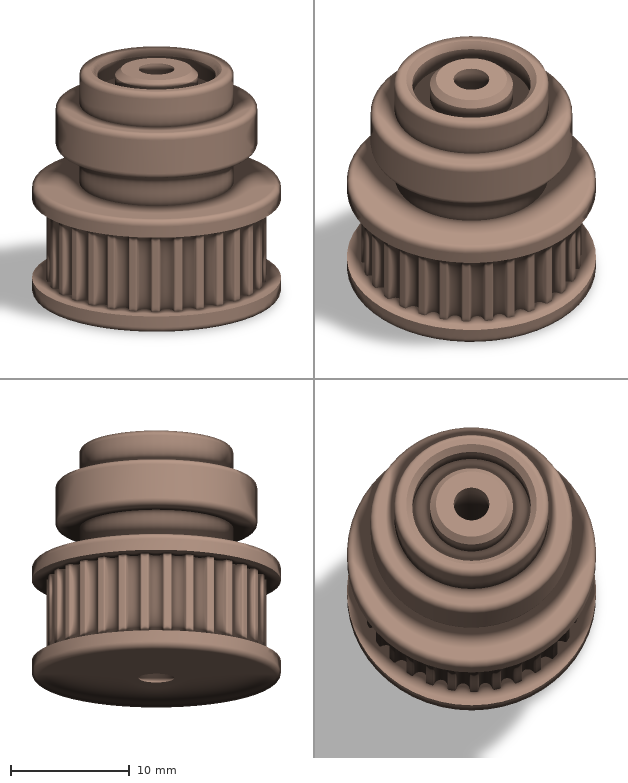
import cadquery as cq
import math

flange_diameter = 21.0
flange_thickness = 1.5
tooth_length = 7.0
edge_radius = 0.5

hub_diameter = 13.0
total_height = 20.0
collar_diameter = 17.0
collar_height = 4.0

recess_diameter = 10.0
recess_depth = 2.0
boss_diameter = 7.0
bore_diameter = 3.0
bevel = 0.5

tooth_count = 30
tooth_tip_diameter = 18.56
groove_depth = 0.75
groove_bottom_radius = 0.55
groove_side_radius = 1.0
groove_side_offset = 0.4
tooth_tip_rounding = 0.15

rim_height = 2 * flange_thickness + tooth_length
collar_bottom = (rim_height + total_height - collar_height) / 2


def disc(diameter, bottom, height):
    return cq.Workplane("XY").workplane(offset=bottom).circle(diameter / 2).extrude(height)


def point_between(start, end, distance):
    """Point on the line from start through end, at the given distance from start."""
    ratio = distance / math.dist(start, end)
    return (start[0] + ratio * (end[0] - start[0]), start[1] + ratio * (end[1] - start[1]))


def arc_middle(center, start, end, radius):
    """Middle point of the short arc from start to end."""
    chord_middle = ((start[0] + end[0]) / 2, (start[1] + end[1]) / 2)
    return point_between(center, chord_middle, radius)


def groove_half_arcs():
    """Arcs (middle, end) from the groove bottom out to the tooth tip, for a groove centred on +X.

    The bottom, side and tip arcs are tangent to each other, and the last one to the tip circle.
    """
    tip_radius = tooth_tip_diameter / 2
    bottom = (tip_radius - groove_depth, 0)
    bottom_center = (bottom[0] + groove_bottom_radius, 0)
    center_gap = groove_side_radius - groove_bottom_radius
    side_center = (
        bottom_center[0] + math.sqrt(center_gap**2 - groove_side_offset**2),
        -groove_side_offset,
    )

    axis = (0, 0)
    to_axis = tip_radius - tooth_tip_rounding
    to_side = groove_side_radius + tooth_tip_rounding
    side_distance = math.dist(axis, side_center)
    cosine = (to_axis**2 + side_distance**2 - to_side**2) / (2 * to_axis * side_distance)
    angle = math.atan2(side_center[1], side_center[0]) + math.acos(cosine)
    rounding_center = (to_axis * math.cos(angle), to_axis * math.sin(angle))

    bottom_end = point_between(side_center, bottom_center, groove_side_radius)
    side_end = point_between(side_center, rounding_center, groove_side_radius)
    tip = point_between(axis, rounding_center, tip_radius)
    return [
        (bottom, bottom_end),
        (arc_middle(side_center, bottom_end, side_end, groove_side_radius), side_end),
        (arc_middle(rounding_center, side_end, tip, tooth_tip_rounding), tip),
    ]


def toothed_rim():
    bottom_arc, side_arc, tip_arc = groove_half_arcs()
    bottom, bottom_end = bottom_arc
    side_middle, side_end = side_arc
    tip_middle, tip = tip_arc
    pitch_angle = 2 * math.pi / tooth_count

    def turned(point, angle):
        x, y = point
        return (
            x * math.cos(angle) - y * math.sin(angle),
            x * math.sin(angle) + y * math.cos(angle),
        )

    def mirrored(point):
        return (point[0], -point[1])

    land_middle = turned((tooth_tip_diameter / 2, 0), pitch_angle / 2)
    next_tip = turned(mirrored(tip), pitch_angle)
    pitch_arcs = [
        (mirrored(tip_middle), mirrored(side_end)),
        (mirrored(side_middle), mirrored(bottom_end)),
        (bottom, bottom_end),
        (side_middle, side_end),
        (tip_middle, tip),
        (land_middle, next_tip),
    ]

    first_angle = pitch_angle / 2
    outline = cq.Workplane("XY").workplane(offset=flange_thickness)
    outline = outline.moveTo(*turned(mirrored(tip), first_angle))
    for tooth in range(tooth_count):
        angle = first_angle + tooth * pitch_angle
        for middle, end in pitch_arcs:
            outline = outline.threePointArc(turned(middle, angle), turned(end, angle))
    return outline.close().extrude(tooth_length)


def flanges():
    lower = disc(flange_diameter, 0, flange_thickness).faces("<Z").edges().fillet(edge_radius)
    upper = disc(flange_diameter, rim_height - flange_thickness, flange_thickness)
    return lower.union(upper.faces(">Z").edges().fillet(edge_radius))


def hub():
    body = disc(hub_diameter, rim_height, total_height - rim_height)
    body = body.faces(">Z").edges().fillet(edge_radius)
    collar = disc(collar_diameter, collar_bottom, collar_height).edges().fillet(edge_radius)
    return body.union(collar)


def boss_recess():
    floor = total_height - recess_depth
    recess = disc(recess_diameter, floor, recess_depth)
    mouth = (
        cq.Workplane("XY")
        .workplane(offset=total_height)
        .circle(recess_diameter / 2 + bevel)
        .workplane(offset=-bevel)
        .circle(recess_diameter / 2)
        .loft()
    )
    boss = disc(boss_diameter, floor, recess_depth).faces(">Z").edges().chamfer(bevel)
    return recess.union(mouth).cut(boss)


pulley = toothed_rim().union(flanges()).union(hub())
pulley = pulley.cut(boss_recess())
result = pulley.cut(disc(bore_diameter, 0, total_height))